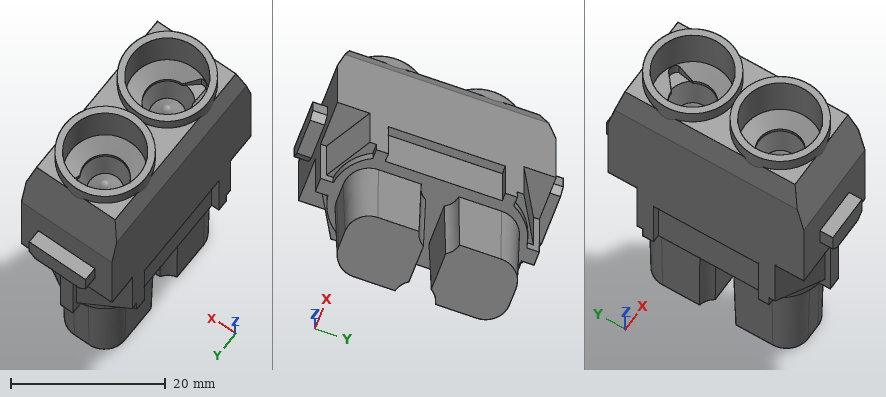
import cadquery as cq
import math

TOTAL_HEIGHT = 47.35
COLLAR_HEIGHT = 2.0
PEG_LENGTH = 14.6
BODY_TOP = TOTAL_HEIGHT - COLLAR_HEIGHT

BODY_WIDTH = 14.6
BODY_DEPTH = 30.1
TOP_WIDTH = 12.65
SHOULDER_SLOPE = 0.244
END_SHOULDER_BOTTOM = 37.2

OVERALL_DEPTH = 34.1
TAB_TOP = 32.05
TAB_BOTTOM = 28.3
TAB_CHAMFER = 1.0
FRONT_TAB_WIDTH = 6.95
BACK_TAB_WIDTH = 9.1

PANEL_WIDTH = 16.1
PANEL_TOP = 23.15
PANEL_DEPTH = 1.15

RIB_HALF_WIDTH = 1.0
LOWER_NOTCH_TOP = 16.25
SHORT_NOTCH_TOP = 24.95
TALL_NOTCH_TOP = 25.45
NOTCH_SIDE_Y = 10.6
NOTCH_END_Y = 14.25
LOWER_NOTCH_Y = 9.7
SKIRT_RADIUS = 6.7

PITCH = 13.45
CHAMBER_Y = PITCH / 2
COLLAR_RADIUS = 6.5
BORE_RADIUS = 5.5
THROAT_RADIUS = 3.25
SEAT_RADIUS = 3.6
CONE_RADIUS = 2.4
BORE_DEPTH = 6.4
FUNNEL_DEPTH = 1.3
THROAT_LENGTH = 0.45
SEAT_DEPTH = 3.3
CONE_HEIGHT = 2.35

SLOT_ANGLE = 61.0
SLOT_AXIS_HALF_WIDTH = 2.6
SLOT_TIP_HALF_WIDTH = 0.75
SLOT_SIDE_END = 5.15
SLOT_TIP = 5.45

PEG_DRAFT = 1.0
PEG_HALF_WIDTH = 4.75
PEG_INNER_Y = 1.3
PEG_OUTER_Y = 12.05
PEG_CORNER_RADIUS = 3.55
GUIDE_X = 5.1
GUIDE_RADIUS = 2.6


def slab(x0, x1, y0, y1, z0, z1):
    return cq.Workplane("XY").box(x1 - x0, y1 - y0, z1 - z0, centered=False).translate((x0, y0, z0))


def block_profile(half_width, shoulder_bottom, half_top):
    """Symmetric outline of the block: straight sides, then sloping shoulders."""
    return [
        (-half_width, PEG_LENGTH),
        (half_width, PEG_LENGTH),
        (half_width, shoulder_bottom),
        (half_top, BODY_TOP),
        (-half_top, BODY_TOP),
        (-half_width, shoulder_bottom),
    ]


def body():
    half_width = BODY_WIDTH / 2
    half_depth = BODY_DEPTH / 2
    side_bottom = BODY_TOP - (half_width - TOP_WIDTH / 2) / SHOULDER_SLOPE
    half_top_depth = half_depth - SHOULDER_SLOPE * (BODY_TOP - END_SHOULDER_BOTTOM)
    across = block_profile(half_width, side_bottom, TOP_WIDTH / 2)
    along = block_profile(half_depth, END_SHOULDER_BOTTOM, half_top_depth)
    width_block = cq.Workplane("XZ").polyline(across).close().extrude(half_depth, both=True)
    depth_block = cq.Workplane("YZ").polyline(along).close().extrude(half_width, both=True)
    return width_block.intersect(depth_block)


def tab(width, end):
    """Latch tab with chamfered lower corners; end is -1 for the front, +1 for the back."""
    length = OVERALL_DEPTH / 2
    block = slab(-width / 2, width / 2, 0, length, TAB_BOTTOM, TAB_TOP)
    block = block.edges("|Y and <Z").chamfer(TAB_CHAMFER)
    return block if end > 0 else block.mirror("XZ")


def corner_notch(side, end, top):
    """Corner cut with a slanting wall, deepened near the bottom up to a round skirt."""
    outer_x = BODY_WIDTH / 2
    outer_y = BODY_DEPTH / 2
    upper = (
        cq.Workplane("XY")
        .workplane(offset=LOWER_NOTCH_TOP)
        .polyline([
            (side * RIB_HALF_WIDTH, end * outer_y),
            (side * RIB_HALF_WIDTH, end * NOTCH_END_Y),
            (side * outer_x, end * NOTCH_SIDE_Y),
            (side * outer_x, end * outer_y),
        ])
        .close()
        .extrude(top - LOWER_NOTCH_TOP)
    )
    xs = sorted([side * RIB_HALF_WIDTH, side * outer_x])
    ys = sorted([end * LOWER_NOTCH_Y, end * outer_y])
    skirt = (
        cq.Workplane("XY")
        .workplane(offset=PEG_LENGTH)
        .center(0, end * CHAMBER_Y)
        .circle(SKIRT_RADIUS)
        .extrude(LOWER_NOTCH_TOP - PEG_LENGTH)
    )
    lower = slab(*xs, *ys, PEG_LENGTH, LOWER_NOTCH_TOP).cut(skirt)
    return upper.union(lower)


def side_panel(side):
    xs = sorted([side * BODY_WIDTH / 2, side * (BODY_WIDTH / 2 - PANEL_DEPTH)])
    return slab(*xs, -PANEL_WIDTH / 2, PANEL_WIDTH / 2, PEG_LENGTH, PANEL_TOP)


def collar():
    """Round collar on the chamber axis, run down into the shoulders."""
    return (
        cq.Workplane("XY")
        .workplane(offset=END_SHOULDER_BOTTOM)
        .circle(COLLAR_RADIUS)
        .extrude(TOTAL_HEIGHT - END_SHOULDER_BOTTOM)
    )


def chamber():
    """Space cut inside a collar: bore, funnel and throat above a tapered seat with a pointed cone."""
    funnel_top = TOTAL_HEIGHT - BORE_DEPTH
    throat_top = funnel_top - FUNNEL_DEPTH
    seat_top = throat_top - THROAT_LENGTH
    seat_bottom = seat_top - SEAT_DEPTH
    space = (
        cq.Workplane("XZ")
        .polyline([
            (0, seat_bottom + CONE_HEIGHT),
            (CONE_RADIUS, seat_bottom),
            (SEAT_RADIUS, seat_top),
            (THROAT_RADIUS, seat_top),
            (THROAT_RADIUS, throat_top),
            (BORE_RADIUS, funnel_top),
            (BORE_RADIUS, TOTAL_HEIGHT),
            (0, TOTAL_HEIGHT),
        ])
        .close()
        .revolve(360, (0, 0, 0), (0, 1, 0))
    )
    return space.union(slot(seat_top, funnel_top))


def slot(bottom, top):
    """Slot narrowing outward to a round tip, with its floor level with the top of the seat."""
    return (
        cq.Workplane("XY")
        .workplane(offset=bottom)
        .moveTo(0, -SLOT_AXIS_HALF_WIDTH)
        .lineTo(SLOT_SIDE_END, -SLOT_TIP_HALF_WIDTH)
        .threePointArc((SLOT_TIP, 0), (SLOT_SIDE_END, SLOT_TIP_HALF_WIDTH))
        .lineTo(0, SLOT_AXIS_HALF_WIDTH)
        .close()
        .extrude(top - bottom)
        .rotate((0, 0, 0), (0, 0, 1), SLOT_ANGLE)
    )


def peg():
    """Drafted peg on the back chamber: two round outer corners, two inner corners hollowed by guide arcs.

    The guide arcs are centred on the plane midway between the two pegs.
    """
    inner_x = GUIDE_X - math.sqrt(GUIDE_RADIUS**2 - PEG_INNER_Y**2)
    side_y = math.sqrt(GUIDE_RADIUS**2 - (GUIDE_X - PEG_HALF_WIDTH) ** 2)
    start_angle = math.atan2(PEG_INNER_Y, inner_x - GUIDE_X)
    end_angle = math.atan2(side_y, PEG_HALF_WIDTH - GUIDE_X)
    middle = (start_angle + end_angle) / 2
    hollow_x = GUIDE_X + GUIDE_RADIUS * math.cos(middle)
    hollow_y = GUIDE_RADIUS * math.sin(middle)
    flat_x = PEG_HALF_WIDTH - PEG_CORNER_RADIUS
    corner_y = PEG_OUTER_Y - PEG_CORNER_RADIUS
    diagonal = PEG_CORNER_RADIUS * math.sqrt(0.5)
    return (
        cq.Workplane("XY")
        .workplane(offset=PEG_LENGTH)
        .moveTo(-inner_x, PEG_INNER_Y)
        .lineTo(inner_x, PEG_INNER_Y)
        .threePointArc((hollow_x, hollow_y), (PEG_HALF_WIDTH, side_y))
        .lineTo(PEG_HALF_WIDTH, corner_y)
        .threePointArc((flat_x + diagonal, corner_y + diagonal), (flat_x, PEG_OUTER_Y))
        .lineTo(-flat_x, PEG_OUTER_Y)
        .threePointArc((-flat_x - diagonal, corner_y + diagonal), (-PEG_HALF_WIDTH, corner_y))
        .lineTo(-PEG_HALF_WIDTH, side_y)
        .threePointArc((-hollow_x, hollow_y), (-inner_x, PEG_INNER_Y))
        .close()
        .extrude(-PEG_LENGTH, taper=PEG_DRAFT)
    )


def half_turn(shape):
    return shape.rotate((0, 0, 0), (0, 0, 1), 180)


result = body()
result = result.union(tab(FRONT_TAB_WIDTH, -1)).union(tab(BACK_TAB_WIDTH, 1))

for side in (-1, 1):
    result = result.cut(side_panel(side))
    for end in (-1, 1):
        notch_top = SHORT_NOTCH_TOP if side == end else TALL_NOTCH_TOP
        result = result.cut(corner_notch(side, end, notch_top))

back_peg = peg()
back_collar = collar().translate((0, CHAMBER_Y, 0))
back_chamber = chamber().translate((0, CHAMBER_Y, 0))
result = result.union(back_peg).union(half_turn(back_peg))
result = result.union(back_collar).union(half_turn(back_collar))
result = result.cut(back_chamber).cut(half_turn(back_chamber))